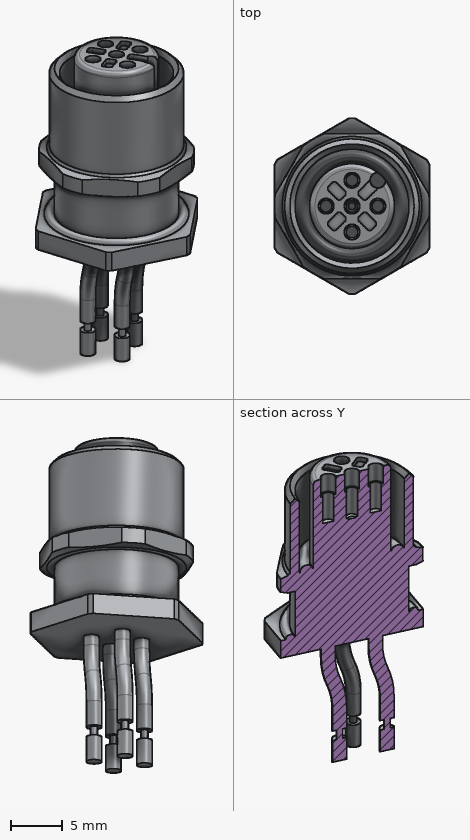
import cadquery as cq
import math

flange_height = 2.0
seal_height = 0.47
nut_bottom = 7.16
nut_height = 2.02
nut_top = nut_bottom + nut_height
sleeve_top = 17.65
core_top = 19.15

flange_flats = 15.0
flange_corner_angle = 30
flange_corner_diameter = 17.0
seal_diameter = 14.0
seal_section_radius = 0.5

nut_flats = 14.0
nut_corner_angle = 0
nut_corner_diameter = 15.0
nut_face_diameter = 13.5
nut_bevel = 0.25

neck_diameter = 12.0
sleeve_diameter = 13.0
sleeve_bore = 11.0
sleeve_chamfer = 0.5

core_diameter = 8.2
core_fillet = 0.5
socket_floor = nut_top

contact_radius = 2.5
contact_diameter = 1.5
contact_depth = 2.0
contact_bore = 1.15
contact_bore_depth = 5.0
centre_tip_diameter = 0.7
centre_tip_depth = 0.15

pocket_inner_radius = 1.2
pocket_outer_radius = 2.96
pocket_width = 1.1
pocket_fillet = 0.3
pocket_depth = 0.5

key_diameter = 1.5
key_angle = 45
key_offset = contact_radius * math.sqrt(2)
key_depth = 7.0

wire_diameter = 1.5
conductor_diameter = 0.7
straight_length = 1.0
bend_height = 6.0
bend_offset = 1.2
insulation_length = 2.5
bare_length = 1.0
end_length = 2.5
wire_root = 0.5

quarter_angles = (0, 90, 180, 270)


def cylinder(diameter, bottom, top, x=0, y=0):
    """Vertical cylinder between two levels."""
    return cq.Workplane("XY", origin=(x, y, bottom)).circle(diameter / 2).extrude(top - bottom)


def polar(radius, angle):
    """X and Y of a point given by radius and angle in degrees."""
    return radius * math.cos(math.radians(angle)), radius * math.sin(math.radians(angle))


def hexagon(flats, bottom, height, first_corner):
    """Hexagonal prism with one corner at the given angle."""
    circumscribed = flats / math.cos(math.pi / 6)
    prism = cq.Workplane("XY").polygon(6, circumscribed).extrude(height)
    return prism.rotate((0, 0, 0), (0, 0, 1), first_corner).translate((0, 0, bottom))


def flange():
    """Hexagon with rounded corners and a sealing ring of round section on top."""
    plate = hexagon(flange_flats, 0, flange_height, flange_corner_angle)
    plate = plate.intersect(cylinder(flange_corner_diameter, 0, flange_height))
    ring_centre = seal_diameter / 2 - seal_section_radius
    ring_level = flange_height + seal_height - seal_section_radius
    ring = (
        cq.Workplane("XZ", origin=(0, 0, ring_level))
        .moveTo(ring_centre, 0)
        .circle(seal_section_radius)
        .revolve(360, (0, 0), (0, 1))
    )
    return plate.union(ring)


def nut():
    """Hexagon whose corners are turned down and bevelled on both faces."""
    turned = (
        cq.Workplane("XZ")
        .moveTo(0, nut_bottom)
        .lineTo(nut_face_diameter / 2, nut_bottom)
        .lineTo(nut_corner_diameter / 2, nut_bottom + nut_bevel)
        .lineTo(nut_corner_diameter / 2, nut_top - nut_bevel)
        .lineTo(nut_face_diameter / 2, nut_top)
        .lineTo(0, nut_top)
        .close()
        .revolve(360, (0, 0), (0, 1))
    )
    return hexagon(nut_flats, nut_bottom, nut_height, nut_corner_angle).intersect(turned)


def sleeve():
    """Tube chamfered inside and out to a sharp rim, with a conical foot and a round seal in its floor."""
    outer = sleeve_diameter / 2
    bore = sleeve_bore / 2
    core = core_diameter / 2
    foot = nut_face_diameter / 2
    seal_radius = (bore - core) / 2
    return (
        cq.Workplane("XZ")
        .moveTo(0, nut_bottom)
        .lineTo(foot, nut_bottom)
        .lineTo(foot, nut_top)
        .lineTo(outer, nut_top + foot - outer)
        .lineTo(outer, sleeve_top - sleeve_chamfer)
        .lineTo(outer - sleeve_chamfer, sleeve_top)
        .lineTo(bore, sleeve_top - sleeve_chamfer)
        .lineTo(bore, socket_floor)
        .threePointArc((bore - seal_radius, socket_floor + seal_radius), (core, socket_floor))
        .lineTo(0, socket_floor)
        .close()
        .revolve(360, (0, 0), (0, 1))
    )


def contact_hole(x, y):
    """Stepped hole for one contact."""
    entry = cylinder(contact_diameter, core_top - contact_depth, core_top, x, y)
    return entry.union(cylinder(contact_bore, core_top - contact_bore_depth, core_top, x, y))


def centre_hole():
    """Stepped hole on the axis, ending in a shallow cone with a flat tip."""
    cone = (
        cq.Workplane("XY", origin=(0, 0, core_top - contact_bore_depth))
        .circle(contact_bore / 2)
        .workplane(offset=-centre_tip_depth)
        .circle(centre_tip_diameter / 2)
        .loft()
    )
    return contact_hole(0, 0).union(cone)


def pocket(angle, outer_radius):
    """Shallow pocket with rounded corners, lying along a radius."""
    length = outer_radius - pocket_inner_radius
    middle = (outer_radius + pocket_inner_radius) / 2
    return (
        cq.Workplane("XY", origin=(middle, 0, core_top - pocket_depth))
        .rect(length, pocket_width)
        .extrude(pocket_depth)
        .edges("|Z")
        .fillet(pocket_fillet)
        .rotate((0, 0, 0), (0, 0, 1), angle)
    )


def core():
    """Contact carrier with its holes, pockets and coding groove."""
    body = cylinder(core_diameter, socket_floor, core_top).faces(">Z").edges().fillet(core_fillet)
    body = body.cut(centre_hole())
    for angle in quarter_angles:
        body = body.cut(contact_hole(*polar(contact_radius, angle)))
        body = body.cut(pocket(angle + key_angle, pocket_outer_radius))

    body = body.cut(pocket(key_angle, key_offset))
    key_x, key_y = polar(key_offset, key_angle)
    return body.cut(cylinder(key_diameter, core_top - key_depth, core_top, key_x, key_y))


def wire(x, y):
    """Wire that leaves the flange, bends sideways in an S and ends in a stripped tip."""
    bend_top = -straight_length
    bend_bottom = bend_top - bend_height
    bare_top = bend_bottom - insulation_length
    bare_bottom = bare_top - bare_length
    tip = bare_bottom - end_length
    end_x = x - bend_offset

    middle = (-bend_offset / 2, -bend_height / 2)
    turn_angle = 2 * math.atan2(bend_offset, bend_height)
    bend_radius = bend_height / 2 / math.sin(turn_angle)
    sag_x = bend_radius * (1 - math.cos(turn_angle / 2))
    sag_z = bend_radius * math.sin(turn_angle / 2)
    path = (
        cq.Workplane("XZ", origin=(x, y, bend_top))
        .threePointArc((-sag_x, -sag_z), middle)
        .threePointArc((-bend_offset + sag_x, -bend_height + sag_z), (-bend_offset, -bend_height))
    )
    bend = cq.Workplane("XY", origin=(x, y, bend_top)).circle(wire_diameter / 2).sweep(path)
    return (
        cylinder(wire_diameter, bend_top, wire_root, x, y)
        .union(bend)
        .union(cylinder(wire_diameter, bare_top, bend_bottom, end_x, y))
        .union(cylinder(conductor_diameter, bare_bottom, bare_top, end_x, y))
        .union(cylinder(wire_diameter, tip, bare_bottom, end_x, y))
    )


neck = cylinder(neck_diameter, 0, nut_top)
result = flange().union(neck).union(nut()).union(sleeve()).union(core())
for wire_angle in quarter_angles:
    result = result.union(wire(*polar(contact_radius, wire_angle)))